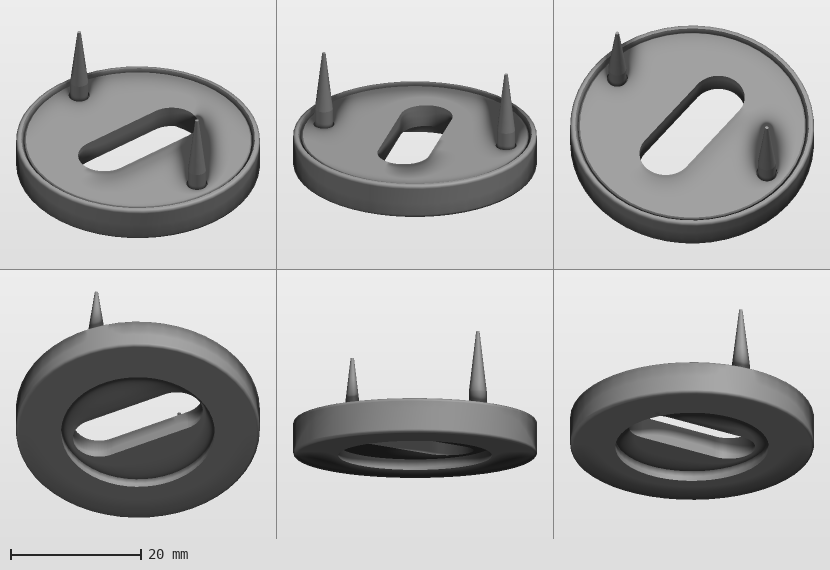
import cadquery as cq
import math

outer_diameter = 37.48
outer_radius = outer_diameter / 2
cover_height = 5.45
edge_radius = 0.5
rim_inner_radius = 17.95
seat_radius = 17.45
lip_inner_radius = 11.8
lip_thickness = 0.35

spacer_thickness = 1.3
insert_bottom = lip_thickness + spacer_thickness

insert_recess = 0.25
insert_top = cover_height - insert_recess
insert_thickness = insert_top - insert_bottom
insert_chamfer = 0.22
groove_depth = 0.95
slot_length = 21.33
slot_width = 8.05

total_height = 17.3
pin_spacing = 29.0
pin_radius = 1.4
pin_tip_radius = 0.25
pin_foot_radius = 1.6
pin_shoulder_drop = 0.37
pin_shoulder_height = 0.22
taper_start = 7.85

turn_angle = 0.7


def make_cover():
    """Revolve the ring section, with a flared mouth above the seat."""
    round_diagonal = edge_radius * math.sqrt(0.5)
    round_centre_radius = outer_radius - edge_radius
    upper_round_centre = cover_height - edge_radius
    section = (
        cq.Workplane("XZ")
        .moveTo(lip_inner_radius, 0)
        .lineTo(round_centre_radius, 0)
        .threePointArc(
            (round_centre_radius + round_diagonal, edge_radius - round_diagonal),
            (outer_radius, edge_radius),
        )
        .lineTo(outer_radius, upper_round_centre)
        .threePointArc(
            (round_centre_radius + round_diagonal, upper_round_centre + round_diagonal),
            (round_centre_radius, cover_height),
        )
        .lineTo(rim_inner_radius, cover_height)
        .lineTo(seat_radius, cover_height - groove_depth)
        .lineTo(seat_radius, lip_thickness)
        .lineTo(lip_inner_radius, lip_thickness)
        .close()
    )
    return section.revolve(360, (0, 0, 0), (0, 1, 0))


def make_spacer():
    """Make the plain ring that fills the seat below the insert."""
    base = cq.Workplane("XY").workplane(offset=lip_thickness)
    return base.circle(seat_radius).circle(lip_inner_radius).extrude(spacer_thickness)


def pin_positions():
    """Return the two opposite pin centres."""
    angle = math.radians(turn_angle)
    x = pin_spacing / 2 * math.cos(angle)
    y = pin_spacing / 2 * math.sin(angle)
    return [(-x, -y), (x, y)]


def make_insert():
    """Make the chamfered disc with its through slot and pin holes."""
    base = cq.Workplane("XY").workplane(offset=insert_bottom)
    disc = base.circle(seat_radius).extrude(insert_thickness)
    disc = disc.faces(">Z").edges().chamfer(insert_chamfer)
    slot = base.slot2D(slot_length, slot_width, 90 + turn_angle).extrude(insert_thickness)
    holes = base.pushPoints(pin_positions()).circle(pin_foot_radius).extrude(insert_thickness)
    return disc.cut(slot).cut(holes)


def make_pin(position):
    """Revolve one pin and stand it on the underside level of the insert."""
    shoulder_top = insert_top - pin_shoulder_drop
    profile = [
        (0, insert_bottom),
        (pin_foot_radius, insert_bottom),
        (pin_foot_radius, shoulder_top - pin_shoulder_height),
        (pin_radius, shoulder_top),
        (pin_radius, taper_start),
        (pin_tip_radius, total_height),
        (0, total_height),
    ]
    pin = cq.Workplane("XZ").polyline(profile).close().revolve(360, (0, 0, 0), (0, 1, 0))
    x, y = position
    return pin.translate((x, y, 0))


cover = make_cover()
spacer = make_spacer()
insert = make_insert()
pins = [make_pin(position) for position in pin_positions()]

result = cq.Compound.makeCompound(
    [cover.val(), spacer.val(), insert.val(), *[pin.val() for pin in pins]]
)